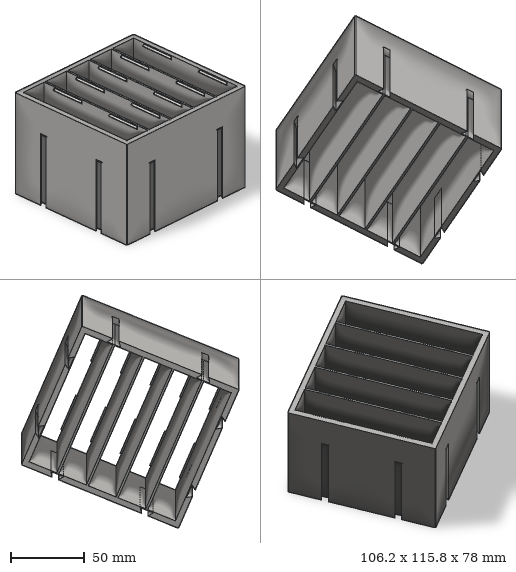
import cadquery as cq

length_x = 106.2
length_y = 115.8
height = 78.0
wall = 4.0
corner_chamfer = 0.6

compartment_count = 5
divider = 1.5
inner_x = length_x - 2 * wall
inner_y = length_y - 2 * wall
compartment_y = (inner_y - (compartment_count - 1) * divider) / compartment_count
pitch = compartment_y + divider

catch_length = 26.2
catch_spacing = 52.5
catch_depth = 1.2
catch_height = 2 * catch_depth
catch_top = height - 0.9

groove_mouth = 4.9
groove_depth = 3.5
groove_undercut = 2.3
groove_top = 55.5
groove_spacing_x = 52.5
groove_spacing_y = 65.9
groove_floor_width = groove_mouth + 2 * groove_undercut


def make_frame():
    """Rectangular tube with lightly chamfered corners and evenly spaced compartments."""
    frame = cq.Workplane("XY").box(length_x, length_y, height, centered=(True, True, False))
    frame = frame.edges("|Z").chamfer(corner_chamfer)
    compartments = (
        cq.Workplane("XY")
        .rarray(1.2, pitch, 1, compartment_count)
        .rect(inner_x, compartment_y)
        .extrude(height)
    )
    return frame.cut(compartments)


def make_catch(center_x, wall_y):
    """Triangular ridge along X, standing out toward -Y from the wall face at wall_y."""
    profile = [
        (wall_y, catch_top),
        (wall_y - catch_depth, catch_top - catch_height / 2),
        (wall_y, catch_top - catch_height),
    ]
    return (
        cq.Workplane("YZ", origin=(center_x, 0, 0))
        .polyline(profile)
        .close()
        .extrude(catch_length / 2, both=True)
    )


def make_groove(face_distance, offset, angle):
    """Dovetail groove cutter for the -Y face, turned about Z onto another face by angle."""
    mouth_y = -face_distance
    floor_y = mouth_y + groove_depth
    dovetail = [
        (offset - groove_mouth / 2, mouth_y),
        (offset + groove_mouth / 2, mouth_y),
        (offset + groove_floor_width / 2, floor_y),
        (offset - groove_floor_width / 2, floor_y),
    ]
    side_profile = [
        (mouth_y, 0),
        (mouth_y, groove_top),
        (floor_y, groove_top - groove_depth),
        (floor_y, 0),
    ]
    channel = cq.Workplane("XY").polyline(dovetail).close().extrude(groove_top)
    roofed_slab = (
        cq.Workplane("YZ", origin=(offset, 0, 0))
        .polyline(side_profile)
        .close()
        .extrude(groove_floor_width, both=True)
    )
    return channel.intersect(roofed_slab).rotate((0, 0, 0), (0, 0, 1), angle)


result = make_frame()

for index in range(compartment_count):
    wall_y = inner_y / 2 - index * pitch
    for side in (-1, 1):
        result = result.union(make_catch(side * catch_spacing / 2, wall_y))

for angle in (0, 180):
    for side in (-1, 1):
        result = result.cut(make_groove(length_y / 2, side * groove_spacing_x / 2, angle))
        result = result.cut(make_groove(length_x / 2, side * groove_spacing_y / 2, angle + 90))